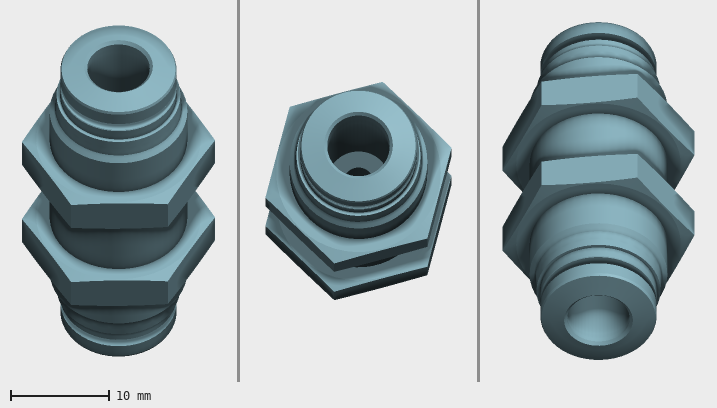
import cadquery as cq
import math

LENGTH = 39.0
HALF_LENGTH = LENGTH / 2
PASSAGE_D = 3.0
SOCKET_D = 6.35
SOCKET_DEPTH = 15.6
SOCKET_CHAMFER = 0.3

BARREL_D = 14.0
TAPER_LARGE_D = 12.9
TAPER_SMALL_D = 12.6
COLLAR_D = 11.9
FLANGE_D = 11.8
COLLAR_CHAMFER = 0.08
NECK_D = 8.35
NECK_FLARE_D = 8.95
CROWN_D = 11.6

CROWN_DEPTH = 0.4
RIM_DEPTH = 0.65
FLANGE_DEPTH = 2.15
FLARE_DEPTH = 2.55
NECK_DEPTH = 3.12
COLLAR_DEPTH = 4.5
TAPER_DEPTH = 6.4
BARREL_DEPTH = 7.0

NUT_FLATS = 17.0
NUT_CORNERS = NUT_FLATS / math.cos(math.pi / 6)
NUT_HEIGHT = 4.0
NUT_GAP = 8.05
NUT_FACE_D = 16.75
NUT_CORNER_DROP = 0.25
NUT_BOTTOMS = (HALF_LENGTH - NUT_GAP / 2 - NUT_HEIGHT, HALF_LENGTH + NUT_GAP / 2)


def make_fitting():
    """One revolved body with two identical ends, mirrored about the middle plane."""
    end_profile = [
        (BARREL_D / 2, HALF_LENGTH - BARREL_DEPTH),
        (TAPER_LARGE_D / 2, HALF_LENGTH - TAPER_DEPTH),
        (TAPER_SMALL_D / 2, HALF_LENGTH - COLLAR_DEPTH),
        (COLLAR_D / 2, HALF_LENGTH - COLLAR_DEPTH),
        (COLLAR_D / 2, HALF_LENGTH - NECK_DEPTH - COLLAR_CHAMFER),
        (COLLAR_D / 2 - COLLAR_CHAMFER, HALF_LENGTH - NECK_DEPTH),
        (NECK_D / 2, HALF_LENGTH - NECK_DEPTH),
        (NECK_D / 2, HALF_LENGTH - FLARE_DEPTH),
        (NECK_FLARE_D / 2, HALF_LENGTH - FLANGE_DEPTH),
        (FLANGE_D / 2, HALF_LENGTH - FLANGE_DEPTH),
        (FLANGE_D / 2, HALF_LENGTH - RIM_DEPTH),
        (CROWN_D / 2, HALF_LENGTH - CROWN_DEPTH),
        (SOCKET_D / 2 + SOCKET_CHAMFER, HALF_LENGTH),
        (SOCKET_D / 2, HALF_LENGTH - SOCKET_CHAMFER),
        (SOCKET_D / 2, HALF_LENGTH - SOCKET_DEPTH),
        (PASSAGE_D / 2, HALF_LENGTH - SOCKET_DEPTH),
    ]
    upper_end = [(radius, HALF_LENGTH + height) for radius, height in end_profile]
    lower_end = [(radius, HALF_LENGTH - height) for radius, height in reversed(end_profile)]
    return (
        cq.Workplane("XZ")
        .polyline(lower_end + upper_end)
        .close()
        .revolve(360, (0, 0, 0), (0, 1, 0))
    )


def make_nut(bottom_z):
    """Hexagon nut with corners along Y, bevelled corners and a hole that fits the barrel."""
    hexagon = (
        cq.Workplane("XY")
        .polygon(6, NUT_CORNERS)
        .extrude(NUT_HEIGHT)
        .rotate((0, 0, 0), (0, 0, 1), 90)
    )
    bevel_profile = [
        (BARREL_D / 2, 0),
        (NUT_FACE_D / 2, 0),
        (NUT_CORNERS / 2, NUT_CORNER_DROP),
        (NUT_CORNERS / 2, NUT_HEIGHT - NUT_CORNER_DROP),
        (NUT_FACE_D / 2, NUT_HEIGHT),
        (BARREL_D / 2, NUT_HEIGHT),
    ]
    bevelled_ring = (
        cq.Workplane("XZ").polyline(bevel_profile).close().revolve(360, (0, 0, 0), (0, 1, 0))
    )
    return hexagon.intersect(bevelled_ring).translate((0, 0, bottom_z))


fitting = make_fitting()
nuts = [make_nut(bottom_z) for bottom_z in NUT_BOTTOMS]

result = cq.Compound.makeCompound([fitting.val(), *[nut.val() for nut in nuts]])